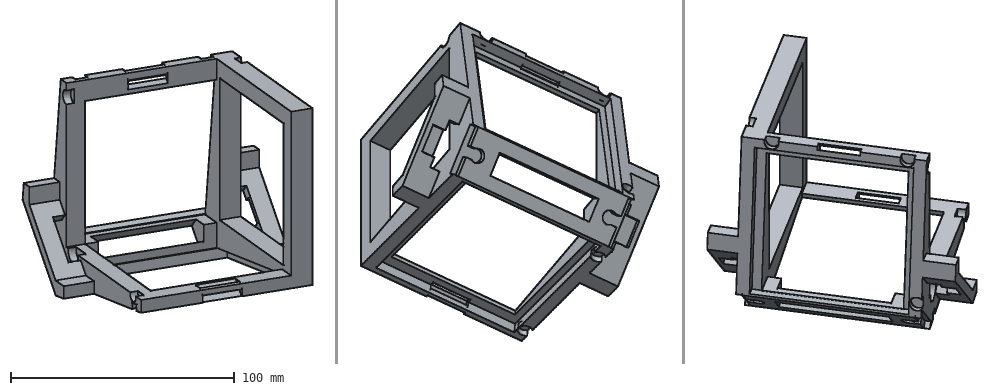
import cadquery as cq
import math


depth = 85.0
inner_length = 77.3
inner_height = 78.0
tilt = math.radians(8)
thin_edge = 6.0
corner_thickness = thin_edge + inner_height * math.tan(tilt)
floor_end_thickness = corner_thickness - inner_length * math.tan(tilt)

opening_y = (9.2, 74.4)
opening_end = 69.7
back_wall_y = (opening_y[1], depth)
back_hole_x = (3.1, 69.3)
back_hole_z = (2.3, 69.8)

seat_size = 73.1
seat_depth = 5.0
seat_y = (5.8, 5.8 + seat_size)
wall_seat_start = 1.1
floor_seat_start = 1.9

edge_slot = (70.1, 74.5)
edge_slot_y = (30.5, 50.3)

bevel_length = corner_thickness * math.sqrt(2)
bevel_slot_width = 11.2
bevel_slot_y = (15.8, 68.1)
bevel_notch_depth = 3.5
bevel_notch_length = 2.7
bevel_channel_width = 5.4
bevel_magnet_inset = 7.6

magnet_radius = 3.3
magnet_depth = 3.1
back_magnet_x = 6.5
wall_top_magnet_drop = 0.9
wall_top_magnet_y = (8.9, 71.2)
wall_low_magnet = (6.8, 2.2)
floor_low_magnets = ((8.8, 2.8), (71.1, 2.5))

front_pocket_depth = 3.9
front_pockets = (
    (-0.5, 71.1, magnet_radius),
    (69.0, -0.5, 3.1),
    (7.0, -0.7, 5.1),
)

arm_front_length = 15.0
arm_back_length = 13.9
arm_thickness = 5.0
arm_reach = 28.6
arm_block_offset = 7.0
arm_bar_sum = 6.2
arm_slot_length = 22.9
arm_front_slot = 6.0
arm_back_slot = 4.9
arm_pocket_length = 13.1
arm_pocket_width = 6.5
arm_pocket_depth = 2.6

overcut = 1.1
through = 1.2 * corner_thickness


def wall_point(along, inward):
    """X, Z of a point on the left wall: up its outer slope from the bevel, then square into it."""
    x = -corner_thickness + along * math.sin(tilt) + inward * math.cos(tilt)
    z = along * math.cos(tilt) - inward * math.sin(tilt)
    return x, z


def floor_point(along, inward):
    """X, Z of a point on the floor, whose slope mirrors the left wall."""
    x, z = wall_point(along, inward)
    return z, x


def diagonal_point(face_sum, along, inward):
    """X, Z of a point on a 45 degree face, where X + Z = face_sum, measured from its middle."""
    x = face_sum / 2 + (inward + along) / math.sqrt(2)
    z = face_sum / 2 + (inward - along) / math.sqrt(2)
    return x, z


def bevel_point(along, inward):
    return diagonal_point(-corner_thickness, along, inward)


def arm_point(along, inward):
    return diagonal_point(arm_bar_sum, along, inward)


def prism(points, y_range):
    """Extrude an X-Z outline over a range of Y."""
    y_start, y_end = y_range
    plane = cq.Plane(origin=(0, y_start, 0), xDir=(1, 0, 0), normal=(0, -1, 0))
    return cq.Workplane(plane).polyline(points).close().extrude(y_start - y_end)


def block(point, along_range, inward_range, y_range):
    """A box square to the face that `point` measures from."""
    low, high = along_range
    outer, inner = inward_range
    outline = [point(low, outer), point(high, outer), point(high, inner), point(low, inner)]
    return prism(outline, y_range)


def face_pin(point, along, y, radius, length):
    """A cylinder sunk square into the face that `point` measures from."""
    x_out, z_out = point(along, -overcut)
    x_in, z_in = point(along, 0)
    direction = cq.Vector(x_in - x_out, 0, z_in - z_out)
    start = cq.Vector(x_out, y, z_out)
    return cq.Workplane(cq.Solid.makeCylinder(radius, length + overcut, start, direction))


def y_pin(x, z, radius, y_range):
    """A cylinder along Y."""
    y_start, y_end = y_range
    start = cq.Vector(x, y_start, z)
    return cq.Workplane(cq.Solid.makeCylinder(radius, y_end - y_start, start, cq.Vector(0, 1, 0)))


def from_end(end, direction, start, stop):
    """Range of Y between two distances from one end of the frame."""
    return sorted((end + direction * start, end + direction * stop))


def make_frame():
    corner_outline = [
        (-thin_edge, inner_height),
        (0, inner_height),
        (0, 0),
        (inner_length, 0),
        (inner_length, -floor_end_thickness),
        (0, -corner_thickness),
        (-corner_thickness, 0),
    ]
    back_outline = [(0, 0), (inner_length, 0), (inner_length, inner_height), (0, inner_height)]
    left, right = back_hole_x
    bottom, top = back_hole_z
    hole_outline = [(left, bottom), (right, bottom), (right, top), (left, top)]
    frame = prism(corner_outline, (0, depth))
    frame = frame.union(prism(back_outline, back_wall_y))
    return frame.cut(prism(hole_outline, back_wall_y))


def cut_openings(body):
    """Seat, opening and edge slot of the left wall and of the floor."""
    slot_low, slot_high = edge_slot
    for point, seat_start in ((wall_point, wall_seat_start), (floor_point, floor_seat_start)):
        seat_range = (seat_start, seat_start + seat_size)
        body = body.cut(block(point, seat_range, (-overcut, seat_depth), seat_y))
        opening_outline = [
            (0, 0),
            point(seat_depth * math.tan(tilt), seat_depth),
            point(opening_end, seat_depth),
            point(opening_end, through),
        ]
        body = body.cut(prism(opening_outline, opening_y))
    wall_slot_outline = [
        (0, slot_low),
        (-through, slot_low + through),
        (-through, slot_high + through),
        (0, slot_high),
    ]
    floor_slot_outline = [(z, x) for x, z in wall_slot_outline]
    body = body.cut(prism(wall_slot_outline, edge_slot_y))
    return body.cut(prism(floor_slot_outline, edge_slot_y))


def cut_bevel(body):
    """Long slot through the bevel, with a notch, channel and round pocket at each end."""
    slot_range = (-bevel_slot_width / 2, bevel_slot_width / 2)
    channel_range = (-bevel_channel_width / 2, bevel_channel_width / 2)
    notch_range = (-bevel_length / 2, bevel_length / 2)
    body = body.cut(block(bevel_point, slot_range, (-overcut, through), bevel_slot_y))
    for end, direction in ((0, 1), (depth, -1)):
        notch_y = from_end(end, direction, 0, bevel_notch_length)
        channel_y = from_end(end, direction, 0, bevel_magnet_inset)
        magnet_y = end + direction * bevel_magnet_inset
        body = body.cut(block(bevel_point, notch_range, (0, bevel_notch_depth), notch_y))
        body = body.cut(block(bevel_point, channel_range, (0, bevel_notch_depth), channel_y))
        body = body.cut(face_pin(bevel_point, 0, magnet_y, magnet_radius, bevel_notch_depth))
    return body


def cut_round_pockets(body):
    for x, z, radius in front_pockets:
        body = body.cut(y_pin(x, z, radius, (0, front_pocket_depth)))
    body = body.cut(y_pin(back_magnet_x, inner_height, magnet_radius, (depth - magnet_depth, depth)))
    wall_top = inner_height / math.cos(tilt) - wall_top_magnet_drop
    for y in wall_top_magnet_y:
        body = body.cut(face_pin(wall_point, wall_top, y, magnet_radius, magnet_depth))
    along, y = wall_low_magnet
    body = body.cut(face_pin(wall_point, along, y, magnet_radius, magnet_depth))
    for along, y in floor_low_magnets:
        body = body.cut(face_pin(floor_point, along, y, magnet_radius, magnet_depth))
    return body


def make_arm(end, direction, length, slot_width):
    """Arm standing out from one end, with a slot through its bar and a pocket beside the slot."""
    bar_upper_sum = arm_bar_sum + arm_thickness * math.sqrt(2)
    bar_low_z = (arm_bar_sum + corner_thickness) / (1 + math.tan(tilt))
    wall_half = [
        (arm_bar_sum - bar_low_z, bar_low_z),
        (arm_reach * math.tan(tilt) - corner_thickness, arm_reach),
        (-arm_block_offset, arm_reach),
        (-arm_block_offset, bar_upper_sum + arm_block_offset),
    ]
    floor_half = [(z, x) for x, z in reversed(wall_half)]
    slot_range = (-arm_slot_length / 2, arm_slot_length / 2)
    pocket_range = (-arm_pocket_length / 2, arm_pocket_length / 2)
    slot_y = from_end(end, direction, 0, slot_width)
    pocket_y = from_end(end, direction, slot_width, slot_width + arm_pocket_width)
    arm = prism(wall_half + floor_half, from_end(end, direction, 0, length))
    arm = arm.cut(block(arm_point, slot_range, (-overcut, arm_thickness + overcut), slot_y))
    return arm.cut(block(arm_point, pocket_range, (-overcut, arm_pocket_depth), pocket_y))


result = make_frame()
result = cut_openings(result)
result = cut_bevel(result)
result = cut_round_pockets(result)
result = result.union(make_arm(0, -1, arm_front_length, arm_front_slot))
result = result.union(make_arm(depth, 1, arm_back_length, arm_back_slot))